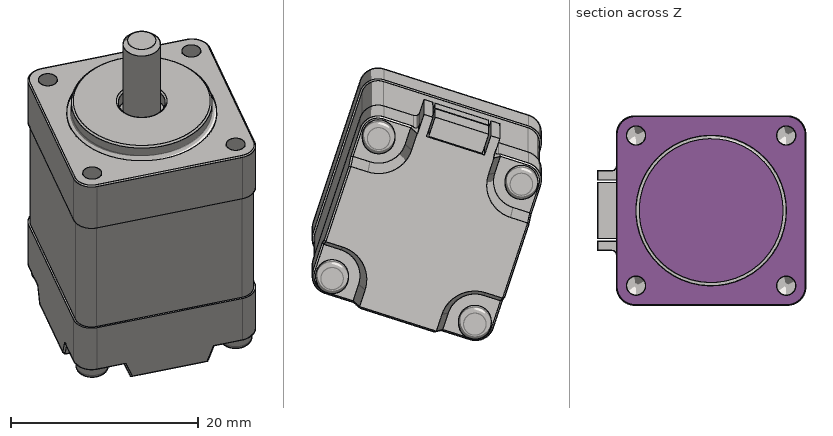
import cadquery as cq
import math


flange_size = 20.2
flange_corner_radius = 2.0
stack_inset = 0.2
stack_size = flange_size - 2 * stack_inset
stack_corner_radius = flange_corner_radius - stack_inset
end_cap_top = 8.0
stack_top = 22.0
flange_top = 27.95
edge_chamfer = 0.2
chamfer_angle = 45.0
flange_top_chamfer = 0.15
half_flange = flange_size / 2

pilot_diameter = 15.0
pilot_top = 29.5
pilot_chamfer = 0.2
groove_diameter = 16.0
groove_depth = 0.2
pilot_foot_fillet = (groove_diameter - pilot_diameter) / 2

shaft_diameter = 4.0
shaft_top = 38.0
shaft_chamfer = 0.5
clearance_diameter = 5.0
clearance_chamfer = 0.2
clearance_bottom = flange_top

screw_offset = 8.0
mount_hole_diameter = 2.01
mount_hole_depth = 3.0
drill_point_angle = 118.0
head_diameter = 3.5
head_bottom = 0.5
head_fillet = 0.55

pocket_depth = 2.0
pocket_mouth_radius = 3.7
pocket_taper = 20.0
pocket_reach = 6.0

connector_face = -half_flange - 2.0
connector_half_width = 4.25
connector_root_fillet = 0.5
connector_embed = 1.0
plug_half_width = 3.0
plug_gap = 0.25
plug_bottom = 0.45
plug_top_drop = 0.1
plug_top = end_cap_top - plug_top_drop
plug_split_bottom = 5.0


def rounded_block(size, corner_radius, bottom, top):
    """Square prism with rounded vertical corners between two heights."""
    block = cq.Workplane("XY").workplane(offset=bottom).rect(size, size).extrude(top - bottom)
    return block.edges("|Z").fillet(corner_radius)


def box(x_range, y_range, z_range):
    """Box spanning the given (low, high) ranges."""
    size = [high - low for low, high in (x_range, y_range, z_range)]
    corner = (x_range[0], y_range[0], z_range[0])
    return cq.Workplane("XY").box(*size, centered=False).translate(corner)


def at_four_corners(body):
    """Copies of a body made at the (+X, +Y) corner, turned onto all four corners."""
    copies = cq.Workplane("XY")
    for angle in (0, 90, 180, 270):
        copies = copies.add(body.rotate((0, 0, 0), (0, 0, 1), angle))
    return copies.combine()


def make_corner_pocket():
    """Drafted pocket, rounded about the screw and open to both outer sides."""
    radius = pocket_mouth_radius
    arc_middle = -radius * math.sqrt(0.5)
    return (
        cq.Workplane("XY", origin=(screw_offset, screw_offset, 0))
        .moveTo(-radius, pocket_reach)
        .lineTo(-radius, 0)
        .threePointArc((arc_middle, arc_middle), (0, -radius))
        .lineTo(pocket_reach, -radius)
        .lineTo(pocket_reach, pocket_reach)
        .close()
        .extrude(pocket_depth, taper=pocket_taper)
    )


def make_end_cap():
    """Lower cap with four screw pockets and chamfered lower outer edges."""
    cap = rounded_block(flange_size, flange_corner_radius, 0, end_cap_top)
    cap = cap.cut(at_four_corners(make_corner_pocket()))
    middle = end_cap_top / 2
    outer_skin = cap.faces("not >Z").filter(lambda face: face.BoundingBox().zmax > middle)
    lower_edges = outer_skin.edges().filter(lambda edge: edge.BoundingBox().zmax < middle)
    return cap.newObject(lower_edges.vals()).chamfer(edge_chamfer)


def make_screw_heads():
    """Screw heads standing down from the pocket floors, rounded at the free end."""
    head = (
        cq.Workplane("XY", origin=(screw_offset, screw_offset, head_bottom))
        .circle(head_diameter / 2)
        .extrude(pocket_depth - head_bottom)
        .faces("<Z")
        .edges()
        .fillet(head_fillet)
    )
    return at_four_corners(head)


def make_front_flange():
    """Upper flange with a chamfered top edge."""
    flange = rounded_block(flange_size, flange_corner_radius, stack_top, flange_top)
    return flange.faces(">Z").edges().chamfer(flange_top_chamfer)


def make_pilot_groove():
    """Shallow disc cut that the filleted pilot foot rises from."""
    groove = cq.Workplane("XY").workplane(offset=flange_top - groove_depth)
    return groove.circle(groove_diameter / 2).extrude(groove_depth)


def make_pilot():
    """Pilot ring with flared foot, chamfered rim and the shaft clearance hole."""
    foot = flange_top - groove_depth
    radius = pilot_diameter / 2
    foot_radius = radius + pilot_foot_fillet
    fillet_side = pilot_foot_fillet * (1 - math.sqrt(0.5))
    pilot = (
        cq.Workplane("XZ")
        .moveTo(0, foot)
        .lineTo(foot_radius, foot)
        .threePointArc((radius + fillet_side, foot + fillet_side), (radius, foot + pilot_foot_fillet))
        .lineTo(radius, pilot_top - pilot_chamfer)
        .lineTo(radius - pilot_chamfer, pilot_top)
        .lineTo(0, pilot_top)
        .close()
        .revolve(360, (0, 0, 0), (0, 1, 0))
    )
    clearance = cq.Workplane("XY").workplane(offset=clearance_bottom)
    clearance = clearance.circle(clearance_diameter / 2).extrude(pilot_top - clearance_bottom)
    pilot = pilot.cut(clearance)
    clearance_rim = pilot.faces(">Z").edges(cq.selectors.RadiusNthSelector(0))
    return clearance_rim.chamfer(clearance_chamfer)


def make_shaft():
    """Round shaft with a chamfered tip."""
    shaft = cq.Workplane("XY").workplane(offset=clearance_bottom)
    shaft = shaft.circle(shaft_diameter / 2).extrude(shaft_top - clearance_bottom)
    return shaft.faces(">Z").edges().chamfer(shaft_chamfer)


def make_mount_holes():
    """Blind drilled holes with conical ends, sunk from the flange top."""
    radius = mount_hole_diameter / 2
    point_depth = radius / math.tan(math.radians(drill_point_angle / 2))
    hole = (
        cq.Workplane("XZ")
        .lineTo(radius, 0)
        .lineTo(radius, -mount_hole_depth)
        .lineTo(0, -mount_hole_depth - point_depth)
        .close()
        .revolve(360, (0, 0, 0), (0, 1, 0))
        .translate((screw_offset, screw_offset, flange_top))
    )
    return at_four_corners(hole)


def make_connector_root():
    """Concave fillet beside the +Y flank, trimmed below by the flared pocket mouth."""
    wall = -half_flange
    flank = connector_half_width
    radius = connector_root_fillet
    arc_side = radius * (1 - math.sqrt(0.5))
    root = (
        cq.Workplane("XY")
        .moveTo(wall, flank)
        .lineTo(wall - radius, flank)
        .threePointArc((wall - arc_side, flank + arc_side), (wall, flank + radius))
        .close()
        .extrude(end_cap_top)
    )
    mouth_edge = screw_offset - pocket_mouth_radius
    slope_run = pocket_depth * math.tan(math.radians(pocket_taper))
    far_edge = screw_offset + pocket_reach
    profile = [
        (mouth_edge - slope_run, -pocket_depth),
        (mouth_edge + slope_run, pocket_depth),
        (far_edge, pocket_depth),
        (far_edge, -pocket_depth),
    ]
    flare = (
        cq.Workplane("YZ", origin=(wall + edge_chamfer, 0, 0))
        .polyline(profile)
        .close()
        .extrude(-(radius + 2 * edge_chamfer), taper=-chamfer_angle)
    )
    return root.cut(flare)


def make_connector_recess():
    """Shallow full-height recess in the end cap wall behind the plug."""
    half_width = plug_half_width + plug_gap
    return box((-half_flange, -stack_size / 2), (-half_width, half_width), (0, end_cap_top))


def make_connector():
    """Two cheeks around a plug that is split by a horizontal groove."""
    depth = (connector_face, -half_flange + connector_embed)
    plug_width = (-plug_half_width, plug_half_width)
    lower_plug = box(depth, plug_width, (plug_bottom, plug_split_bottom))
    upper_plug = box(depth, plug_width, (plug_split_bottom + plug_gap, plug_top))
    cheek_width = (plug_half_width + plug_gap, connector_half_width)
    side = box(depth, cheek_width, (0, end_cap_top)).union(make_connector_root())
    return lower_plug.union(upper_plug).union(side).union(side.mirror("XZ"))


stack = rounded_block(stack_size, stack_corner_radius, end_cap_top, stack_top)
end_cap = make_end_cap().cut(make_connector_recess())
front_flange = make_front_flange().cut(make_mount_holes()).cut(make_pilot_groove())

result = (
    stack.union(end_cap)
    .union(make_screw_heads())
    .union(make_connector())
    .union(front_flange)
    .union(make_pilot())
    .union(make_shaft())
)